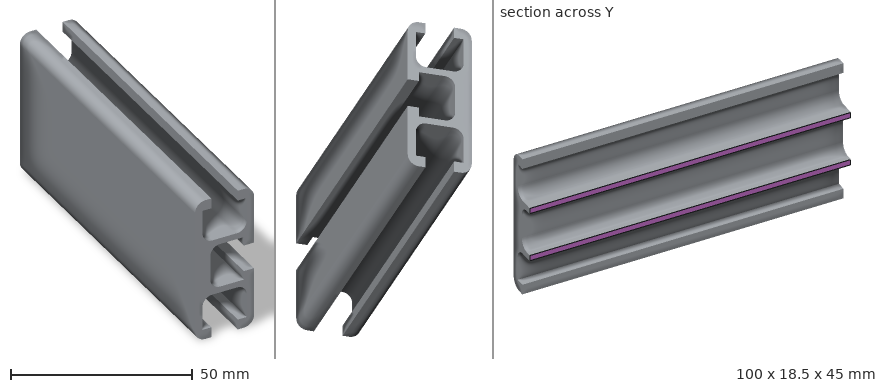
import cadquery as cq

length = 100.0
depth = 18.5
height = 45.0
outer_radius = 3.2

slot_opening = 8.3
lip_thickness = 3.2
cavity_width = 13.8
cavity_floor = 13.7
floor_radius = 3.0


def profile_bar():
    """Solid bar along X with its four long edges rounded."""
    bar = cq.Workplane("YZ").rect(depth, height).extrude(length / 2, both=True)
    return bar.edges("|X").fillet(outer_radius)


def t_slot():
    """T-slot cutter along X, opening upward, with its outer face at Z = 0."""
    cavity_depth = cavity_floor - lip_thickness
    cavity = (
        cq.Workplane("YZ")
        .center(0, -lip_thickness - cavity_depth / 2)
        .rect(cavity_width, cavity_depth)
        .extrude(length / 2, both=True)
        .edges("|X and <Z")
        .fillet(floor_radius)
    )
    opening = (
        cq.Workplane("YZ")
        .center(0, -lip_thickness / 2)
        .rect(slot_opening, lip_thickness)
        .extrude(length / 2, both=True)
    )
    return cavity.union(opening)


def turned_about_x(cutter, angle):
    """Cutter turned about the X axis by an angle in degrees."""
    return cutter.rotate((0, 0, 0), (1, 0, 0), angle)


top_slot = t_slot().translate((0, 0, height / 2))
bottom_slot = turned_about_x(top_slot, 180)
side_slot = turned_about_x(t_slot(), -90).translate((0, depth / 2, 0))

result = profile_bar()
for slot in (top_slot, bottom_slot, side_slot):
    result = result.cut(slot)